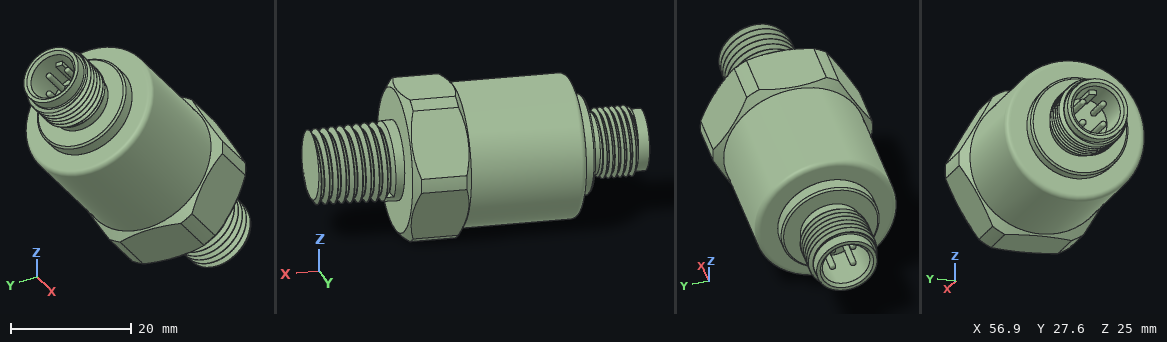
import cadquery as cq
import math

LENGTH = 56.85

NOSE_RADIUS = 5.25
FINE_START = 1.95
FINE_END = 8.45
FINE_CREST_RADIUS = 5.95
FINE_ROOT_RADIUS = 5.3
FINE_PITCH = 5.0 / 5
FINE_CREST_X = 5.75

SOCKET_RADIUS = 4.1
SOCKET_DEPTH = 8.0
MOUTH_CHAMFER = 0.5
PIN_RADIUS = 0.5
PIN_TIP_ROUND = 0.35
PIN_TIP_X = 2.15
PIN_OFFSET = 1.75
KEY_WIDTH = 1.25
KEY_BOTTOM_Z = 3.3
KEY_START_X = 2.75

FLANGE_START = 10.0
FLANGE_RADIUS = 8.45
FLANGE_CHAMFER = 0.35
BODY_START = 12.4
BODY_RADIUS = 12.2
BODY_ROUND = 0.9

HEX_START = 32.3
HEX_END = 42.35
HEX_ACROSS_FLATS = 25.0
HEX_CORNER_RADIUS = 27.6 / 2
HEX_BEVEL_LENGTH = 1.15

NECK_RADIUS = 6.75
PIPE_PITCH = 7.05 / 5
PIPE_TAPER = 1 / 32
PIPE_THREAD_DEPTH = 0.85
PIPE_CREST_X = 45.6
PIPE_START_ANGLE = 45.0

CREST_FLAT = 0.08
ROOT_FLAT = 0.1
CUT_OVERSHOOT = 0.03
RUNOUT_PITCHES = 3


def revolve_about_x(outline):
    """Solid of revolution from (x, radius) points, closed along the X axis."""
    closed = [(outline[0][0], 0)] + outline + [(outline[-1][0], 0)]
    return cq.Workplane("XY").polyline(closed).close().revolve(360, (0, 0), (1, 0))


def round_bar(x_start, x_end, radius):
    return cq.Workplane("YZ", origin=(x_start, 0, 0)).circle(radius).extrude(x_end - x_start)


def threaded_bar(bar_start, bar_end, start_radius, depth, pitch, groove_start, start_angle=0.0, taper=0.0):
    """Bar along X with a right-handed groove that begins and ends inside its length.

    The groove begins at groove_start, at start_angle from -Z towards +Y.
    taper is the radius lost per unit of length.
    """
    bar = revolve_about_x([
        (bar_start, start_radius),
        (bar_end, start_radius - taper * (bar_end - bar_start)),
    ])
    groove_length = bar_end - pitch - groove_start
    root_radius = start_radius - taper * (groove_start - bar_start) - depth
    cone_angle = -math.degrees(math.atan(taper)) if taper else 360.0
    helix = cq.Wire.makeHelix(pitch, groove_length, root_radius, angle=cone_angle)
    root_half = ROOT_FLAT * pitch / 2
    crest_half = (1 - CREST_FLAT) * pitch / 2
    mouth_depth = depth + CUT_OVERSHOOT
    mouth_half = root_half + (crest_half - root_half) * mouth_depth / depth
    groove = (
        cq.Workplane("XZ")
        .polyline([
            (root_radius, -root_half),
            (root_radius + mouth_depth, -mouth_half),
            (root_radius + mouth_depth, mouth_half),
            (root_radius, root_half),
        ])
        .close()
        .sweep(cq.Workplane(helix), isFrenet=True)
        .rotate((0, 0, 0), (0, 1, 0), 90)
        .rotate((0, 0, 0), (1, 0, 0), start_angle)
        .translate((groove_start, 0, 0))
    )
    return bar.cut(groove)


def make_fine_thread():
    end_chamfer = FINE_CREST_RADIUS - NOSE_RADIUS
    turns_before = math.ceil((FINE_CREST_X - FINE_START) / FINE_PITCH) + 1
    groove_start = FINE_CREST_X - turns_before * FINE_PITCH
    bar = threaded_bar(
        groove_start - FINE_PITCH,
        FINE_END + RUNOUT_PITCHES * FINE_PITCH,
        FINE_CREST_RADIUS,
        FINE_CREST_RADIUS - FINE_ROOT_RADIUS,
        FINE_PITCH,
        groove_start,
    )
    envelope_radius = FINE_CREST_RADIUS + CUT_OVERSHOOT
    envelope = revolve_about_x([
        (FINE_START, NOSE_RADIUS),
        (FINE_START, FINE_CREST_RADIUS - end_chamfer / 2),
        (FINE_START + end_chamfer / 2 + CUT_OVERSHOOT, envelope_radius),
        (FINE_END - end_chamfer - CUT_OVERSHOOT, envelope_radius),
        (FINE_END, NOSE_RADIUS),
    ])
    return bar.intersect(envelope)


def make_pipe_thread():
    bar = threaded_bar(
        HEX_END,
        LENGTH + RUNOUT_PITCHES * PIPE_PITCH,
        NECK_RADIUS,
        PIPE_THREAD_DEPTH,
        PIPE_PITCH,
        PIPE_CREST_X - PIPE_PITCH * (1 - PIPE_START_ANGLE / 360),
        PIPE_START_ANGLE,
        PIPE_TAPER,
    )
    return bar.intersect(round_bar(HEX_END, LENGTH, HEX_CORNER_RADIUS))


def make_body():
    nose = round_bar(0, BODY_START, NOSE_RADIUS)
    flange = round_bar(FLANGE_START, BODY_START, FLANGE_RADIUS)
    flange = flange.faces("<X").edges().chamfer(FLANGE_CHAMFER)
    body = round_bar(BODY_START, HEX_END, BODY_RADIUS)
    body = body.faces("<X").edges().fillet(BODY_ROUND)
    return body.union(flange).union(nose)


def make_hexagon():
    prism = (
        cq.Workplane("YZ", origin=(HEX_START, 0, 0))
        .polygon(6, HEX_ACROSS_FLATS / math.cos(math.radians(30)))
        .extrude(HEX_END - HEX_START)
    )
    bevelled_bar = revolve_about_x([
        (HEX_START, BODY_RADIUS),
        (HEX_START + HEX_BEVEL_LENGTH, HEX_CORNER_RADIUS),
        (HEX_END - HEX_BEVEL_LENGTH, HEX_CORNER_RADIUS),
        (HEX_END, BODY_RADIUS),
    ])
    return prism.intersect(bevelled_bar)


def make_socket():
    return revolve_about_x([
        (0, SOCKET_RADIUS + MOUTH_CHAMFER),
        (MOUTH_CHAMFER, SOCKET_RADIUS),
        (SOCKET_DEPTH, SOCKET_RADIUS),
    ])


def make_pins():
    return (
        cq.Workplane("YZ", origin=(PIN_TIP_X, 0, 0))
        .rect(2 * PIN_OFFSET, 2 * PIN_OFFSET, forConstruction=True)
        .vertices()
        .circle(PIN_RADIUS)
        .extrude(SOCKET_DEPTH - PIN_TIP_X)
        .faces("<X")
        .edges()
        .fillet(PIN_TIP_ROUND)
    )


def make_key():
    key_top_z = (SOCKET_RADIUS + NOSE_RADIUS) / 2
    key_length = SOCKET_DEPTH - KEY_START_X
    key_height = key_top_z - KEY_BOTTOM_Z
    key = cq.Workplane("XY").box(key_length, KEY_WIDTH, key_height, centered=(False, True, False))
    return key.translate((KEY_START_X, 0, KEY_BOTTOM_Z))


result = (
    make_body()
    .union(make_hexagon())
    .union(make_pipe_thread())
    .union(make_fine_thread())
    .cut(make_socket())
    .union(make_pins())
    .union(make_key())
)